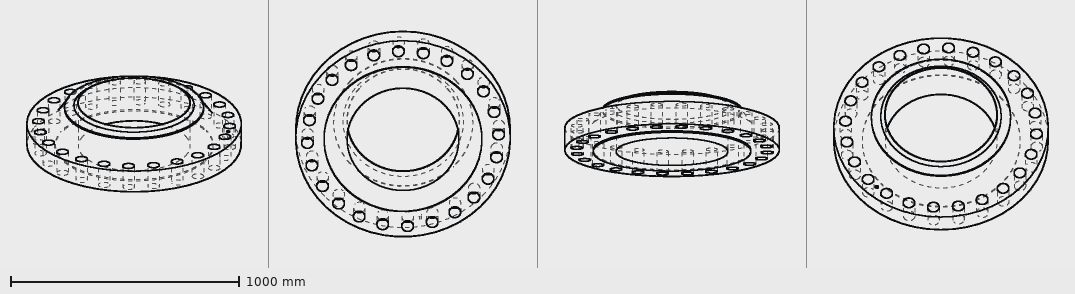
import cadquery as cq
import math

flange_diameter = 940.0
flange_thickness = 101.5
raised_face_diameter = 691.5
raised_face_height = 7.0

overall_height = 209.5
bore_diameter = 489.5
hub_base_diameter = 716.0
hub_base_fillet = 4.0
weld_end_diameter = 610.0
weld_end_band_height = 7.0

land_width = 2.0
steep_bevel_width = 17.0
steep_bevel_angle = 37.5
shallow_bevel_angle = 10.0

bolt_count = 24
bolt_circle_diameter = 838.0
bolt_hole_diameter = 51.0

small_hole_diameter = 8.0
small_hole_depth = 28.0
countersink_diameter = 13.0
countersink_side_angle = 45

flange_top = raised_face_height + flange_thickness
bore_radius = bore_diameter / 2
weld_end_radius = weld_end_diameter / 2
land_radius = bore_radius + land_width
bevel_break_radius = land_radius + steep_bevel_width
bevel_break_z = overall_height - steep_bevel_width * math.tan(math.radians(steep_bevel_angle))
shallow_bevel_drop = (weld_end_radius - bevel_break_radius) * math.tan(math.radians(shallow_bevel_angle))
weld_end_z = bevel_break_z - shallow_bevel_drop
bolt_spacing = 360 / bolt_count


def flange_body():
    """Revolve the half section of flange, hub and bore about Z, then round the hub base."""
    section = [
        (bore_radius, 0),
        (raised_face_diameter / 2, 0),
        (raised_face_diameter / 2, raised_face_height),
        (flange_diameter / 2, raised_face_height),
        (flange_diameter / 2, flange_top),
        (hub_base_diameter / 2, flange_top),
        (weld_end_radius, weld_end_z - weld_end_band_height),
        (weld_end_radius, weld_end_z),
        (bevel_break_radius, bevel_break_z),
        (land_radius, overall_height),
        (bore_radius, overall_height),
    ]
    body = cq.Workplane("XZ").polyline(section).close().revolve(360, (0, 0), (0, 1))
    hub_base = cq.selectors.RadiusNthSelector(-2)
    return body.edges("%CIRCLE").edges(hub_base).fillet(hub_base_fillet)


def bolt_circle_points(count, start_angle=0):
    """Workplane on the flange top, holding evenly spaced points on the bolt circle."""
    plane = cq.Workplane("XY").workplane(offset=flange_top)
    return plane.polarArray(bolt_circle_diameter / 2, start_angle, 360, count)


def bolt_holes():
    return bolt_circle_points(bolt_count).circle(bolt_hole_diameter / 2).extrude(-flange_thickness)


def small_hole():
    countersink_width = (countersink_diameter - small_hole_diameter) / 2
    countersink_depth = countersink_width / math.tan(math.radians(countersink_side_angle))
    angle = bolt_spacing / 2
    shank = bolt_circle_points(1, angle).circle(small_hole_diameter / 2).extrude(-small_hole_depth)
    mouth = bolt_circle_points(1, angle).circle(countersink_diameter / 2)
    return shank.union(mouth.extrude(-countersink_depth, taper=countersink_side_angle))


result = flange_body().cut(bolt_holes()).cut(small_hole())